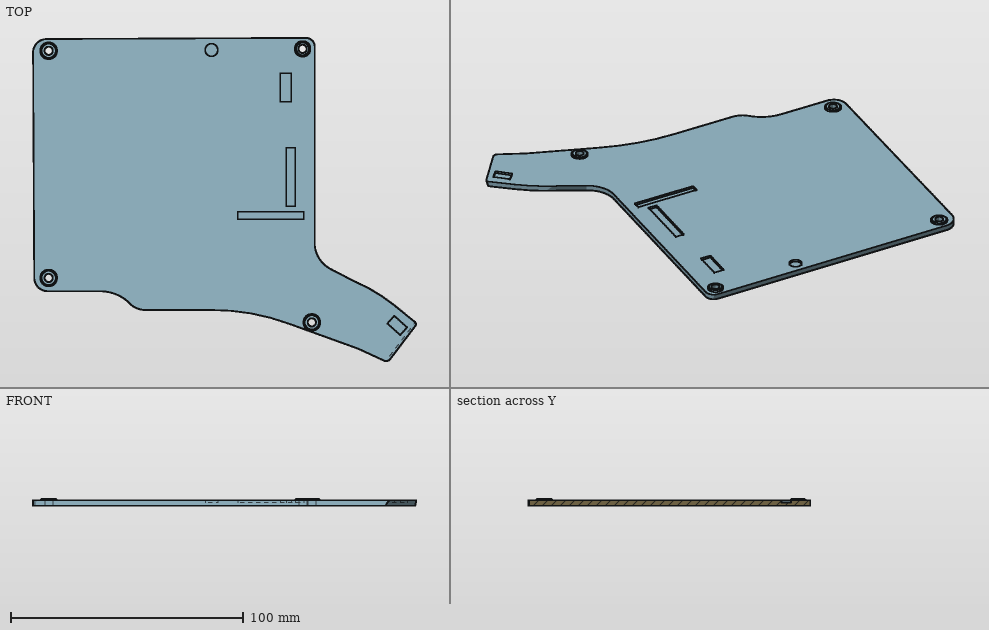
import cadquery as cq
import math

plate_thickness = 2.5
boss_height = 0.5
screw_hole_diameter = 3.5
boss_top_diameter = 6.1
boss_base_diameter = 7.3
small_boss_top_diameter = 5.5
small_boss_base_diameter = 6.8

boss_centers = [(6.8, 133.5), (6.8, 35.8), (120.0, 16.7)]
small_boss_center = (116.0, 134.4)

pocket_depth = 1.0
rectangular_pockets = [
    ((108.8, 117.7), 12.4, 4.6, 90),
    ((111.0, 79.3), 25.2, 4.0, 90),
    ((102.4, 62.7), 28.4, 3.3, 0),
    ((156.8, 15.3), 7.5, 4.5, -42),
]
round_pocket_center = (76.8, 133.9)
round_pocket_diameter = 5.5

tip_upper = (164.5, 15.0)
tip_lower = (153.7, 0.7)
tip_undercut = 1.2


def make_plate():
    """Near-square board with a stepped lower edge and a curved arm at lower right."""
    outline = (
        cq.Workplane("XY")
        .moveTo(0, 132.5)
        .threePointArc((1.6, 136.8), (5.8, 138.7))
        .lineTo(117.4, 139.2)
        .threePointArc((120.2, 138.0), (121.3, 135.2))
        .lineTo(121.3, 49.6)
        .threePointArc((123.7, 43.5), (129.0, 39.2))
        .lineTo(138.2, 34.5)
        .threePointArc((147.2, 29.8), (155.3, 24.2))
        .lineTo(164.0, 17.1)
        .threePointArc((164.9, 16.2), tip_upper)
        .lineTo(*tip_lower)
        .threePointArc((152.3, 0), (150.7, 0.3))
        .lineTo(140.0, 5.3)
        .lineTo(110.3, 16.0)
        .threePointArc((94, 20.5), (76.7, 22.0))
        .lineTo(48.5, 22.0)
        .threePointArc((44.5, 22.8), (41.0, 25.4))
        .threePointArc((35.8, 28.7), (28.9, 30.0))
        .lineTo(6.6, 30.0)
        .threePointArc((2.3, 31.7), (0.5, 36.0))
        .close()
    )
    return outline.extrude(plate_thickness)


def make_tip_cutter():
    """Wedge that leans the arm end inwards below the top face."""
    edge_x = tip_upper[0] - tip_lower[0]
    edge_y = tip_upper[1] - tip_lower[1]
    edge_length = math.hypot(edge_x, edge_y)
    middle = ((tip_upper[0] + tip_lower[0]) / 2, (tip_upper[1] + tip_lower[1]) / 2, 0)
    section = cq.Plane(
        origin=middle,
        xDir=(edge_y / edge_length, -edge_x / edge_length, 0),
        normal=(-edge_x, -edge_y, 0),
    )
    return (
        cq.Workplane(section)
        .moveTo(-tip_undercut, 0)
        .lineTo(0, plate_thickness)
        .lineTo(tip_undercut, plate_thickness)
        .lineTo(tip_undercut, 0)
        .close()
        .extrude(edge_length, both=True)
    )


def make_boss(center, base_diameter, top_diameter):
    """Low conical seat standing on the plate."""
    return (
        cq.Workplane("XY", origin=(*center, plate_thickness))
        .circle(base_diameter / 2)
        .workplane(offset=boss_height)
        .circle(top_diameter / 2)
        .loft(ruled=True)
    )


result = make_plate().cut(make_tip_cutter())

for boss_center in boss_centers:
    result = result.union(make_boss(boss_center, boss_base_diameter, boss_top_diameter))
result = result.union(
    make_boss(small_boss_center, small_boss_base_diameter, small_boss_top_diameter)
)

screw_holes = (
    cq.Workplane("XY")
    .pushPoints(boss_centers + [small_boss_center])
    .circle(screw_hole_diameter / 2)
    .extrude(plate_thickness + boss_height)
)
result = result.cut(screw_holes)

pocket_floor = plate_thickness - pocket_depth
for center, length, width, angle in rectangular_pockets:
    pocket = (
        cq.Workplane("XY", origin=(*center, pocket_floor))
        .transformed(rotate=(0, 0, angle))
        .rect(length, width)
        .extrude(pocket_depth)
    )
    result = result.cut(pocket)

round_pocket = (
    cq.Workplane("XY", origin=(*round_pocket_center, pocket_floor))
    .circle(round_pocket_diameter / 2)
    .extrude(pocket_depth)
)
result = result.cut(round_pocket)